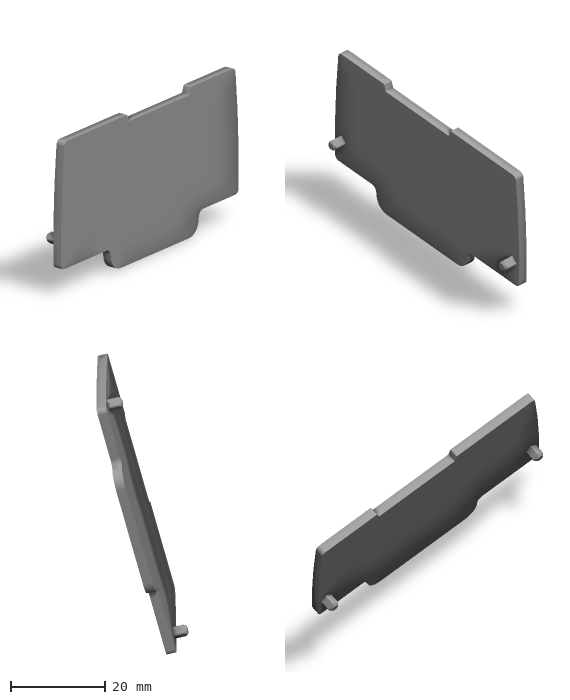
import cadquery as cq
import math

total_height = 34.05
width = 60.25
plate_thickness = 2.1
wing_bottom = 5.3
corner_radius = 1.1

side_bow_radius = 235.0
widest_height = 10.4

notch_depth = 1.65
notch_centre_y = 3.2
notch_top_width = 21.7
notch_floor_width = 20.6
notch_edge_radius = 0.25

tab_centre_y = 1.67
tab_root_width = 30.2
tab_draft = 7.0
tab_corner_radius = 3.3
tab_root_radius = 1.5

peg_length = 3.0
peg_spacing = 55.85
peg_height = 11.12
peg_side = 2.1
peg_edge_chamfer = 0.24
peg_tip_radius = 0.8
peg_tip_length = 0.6

half_width = width / 2


def extrude_profile(profile):
    """Extrude a YZ profile through the plate thickness."""
    return profile.extrude(plate_thickness)


def make_wings():
    """Upper body of the plate with bowed sides and rounded corners."""

    def side_y(z):
        rise = z - widest_height
        return half_width - side_bow_radius + math.sqrt(side_bow_radius**2 - rise**2)

    top_y = side_y(total_height)
    bottom_y = side_y(wing_bottom)
    profile = (
        cq.Workplane("YZ")
        .moveTo(-bottom_y, wing_bottom)
        .lineTo(bottom_y, wing_bottom)
        .threePointArc((half_width, widest_height), (top_y, total_height))
        .lineTo(-top_y, total_height)
        .threePointArc((-half_width, widest_height), (-bottom_y, wing_bottom))
        .close()
    )
    return extrude_profile(profile).edges("|X").fillet(corner_radius)


def cut_notch(plate):
    """Cut the tapered notch in the top edge and round its four corners."""
    floor = total_height - notch_depth
    corners = [
        (-notch_floor_width / 2, floor),
        (notch_floor_width / 2, floor),
        (notch_top_width / 2, total_height),
        (-notch_top_width / 2, total_height),
    ]
    profile = cq.Workplane("YZ", origin=(0, notch_centre_y, 0)).polyline(corners).close()
    plate = plate.cut(extrude_profile(profile))
    for y, z in corners:
        corner = (plate_thickness / 2, notch_centre_y + y, z)
        plate = plate.edges(cq.selectors.NearestToPointSelector(corner)).fillet(notch_edge_radius)
    return plate


def add_tab(plate):
    """Join the tapered tab to the wings, rounding its lower corners and its root."""
    half_root = tab_root_width / 2
    half_bottom = half_root - wing_bottom * math.tan(math.radians(tab_draft))
    profile = cq.Workplane("YZ", origin=(0, tab_centre_y, 0)).polyline([
        (-half_bottom, 0),
        (half_bottom, 0),
        (half_root, wing_bottom),
        (-half_root, wing_bottom),
    ]).close()
    plate = plate.union(extrude_profile(profile))
    for side in (-1, 1):
        root = (plate_thickness / 2, tab_centre_y + side * half_root, wing_bottom)
        plate = plate.edges(cq.selectors.NearestToPointSelector(root)).fillet(tab_root_radius)
    return plate.faces("<Z").edges("|X").fillet(tab_corner_radius)


def make_peg(y):
    """Square peg standing on edge, its end turned down to a cone."""
    bar = (
        cq.Workplane("XY")
        .rect(peg_side, peg_side)
        .extrude(peg_length)
        .edges("|Z")
        .chamfer(peg_edge_chamfer)
        .rotate((0, 0, 0), (0, 0, 1), 45)
    )
    corner_reach = (peg_side - peg_edge_chamfer) / math.sqrt(2)
    envelope = (
        cq.Workplane("XZ")
        .polyline([
            (0, 0),
            (peg_side, 0),
            (peg_side, peg_length - peg_tip_length),
            (corner_reach, peg_length - peg_tip_length),
            (peg_tip_radius, peg_length),
            (0, peg_length),
        ])
        .close()
        .revolve(360, (0, 0, 0), (0, 1, 0))
    )
    peg = bar.intersect(envelope)
    return peg.rotate((0, 0, 0), (0, 1, 0), -90).translate((0, y, peg_height))


result = add_tab(cut_notch(make_wings()))
for peg_y in (-peg_spacing / 2, peg_spacing / 2):
    result = result.union(make_peg(peg_y))